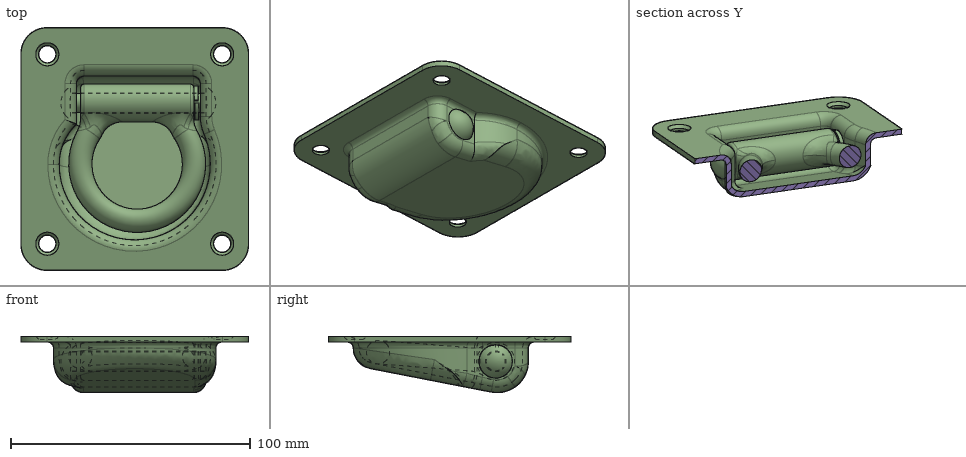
import cadquery as cq
import math

PLATE_WIDTH = 95.3
PLATE_LENGTH = 101.6
SHEET = 2.4
PLATE_CORNER_RADIUS = 11.0
HOLE_DIAMETER = 7.1
COUNTERSINK_DIAMETER = 9.7
COUNTERSINK_ANGLE = 90
HOLE_X = 36.6
HOLE_Y = 39.6

PIN_Y = 19.2
PIN_Z = -10.5
PIN_DIAMETER = 7.9
PAN_PIN_HOLE = 8.3
HEAD_DIAMETER = 13.9
HEAD_HEIGHT = 4.1

BOWL_Y = -6.4
BOWL_RADIUS = 34.0
SHOULDER_RADIUS = 25.6
BOWL_FLOOR_FILLET = 8.8
BOX_CENTER_X = 1.5
BOX_WIDTH = 56.7
BOX_BACK_RADIUS = 13.1
BOX_BACK_Y = 19.8
BOX_CORNER_FILLET = 5.6
BOX_FLOOR_FILLET = 5.4
FLOOR_SLOPE = math.radians(11.0)
JUNCTION_FILLET = 16.3
MOUTH_FILLET = 4.8

RING_X = 1.0
RING_RADIUS = 23.8
TUBE_DIAMETER = 9.8
RING_TILT = 4.5
BARREL_DIAMETER = 15.8
BARREL_LENGTH = 47.3
BARREL_END_FILLET = 1.4
BARREL_BORE = 8.6
NECK_ANGLE = math.radians(34.0)
NECK_FILLET = 9.1
LEG_SETBACK = 0.8

WASHER_DIAMETER = 14.2
WASHER_BORE = 8.6
WASHER_THICKNESS = 1.7
WASHER_RISE = 0.5
WASHER_TURN = 0.97

BOX_LEFT = BOX_CENTER_X - BOX_WIDTH / 2
BOX_RIGHT = BOX_CENTER_X + BOX_WIDTH / 2
BARREL_RIGHT = RING_X + BARREL_LENGTH / 2

BLOCK_DEPTH = 40.6
HALF_WIDTH = PLATE_WIDTH / 2
HALF_LENGTH = PLATE_LENGTH / 2

RIM_BAND = 0.1


def floor_start(inset):
    """Y and Z where the round back of the pan runs into the sloped floor."""
    radius = BOX_BACK_RADIUS - inset
    return BOX_BACK_Y - radius * math.sin(FLOOR_SLOPE), PIN_Z - radius * math.cos(FLOOR_SLOPE)


def floor_height(y, inset):
    """Z of the sloped floor at a given Y."""
    start_y, start_z = floor_start(inset)
    return start_z + (start_y - y) * math.tan(FLOOR_SLOPE)


def side_prism(inset):
    """Prism with the pan's side outline: straight back wall, round back and sloped floor."""
    radius = BOX_BACK_RADIUS - inset
    back_y = BOX_BACK_Y + radius
    arc_angle = (math.pi / 2 - FLOOR_SLOPE) / 2
    arc_middle = (BOX_BACK_Y + radius * math.cos(arc_angle), PIN_Z - radius * math.sin(arc_angle))
    return (
        cq.Workplane("YZ")
        .moveTo(-HALF_LENGTH, 0)
        .lineTo(back_y, 0)
        .lineTo(back_y, PIN_Z)
        .threePointArc(arc_middle, floor_start(inset))
        .lineTo(-HALF_LENGTH, floor_height(-HALF_LENGTH, inset))
        .close()
        .extrude(HALF_WIDTH, both=True)
    )


def point_on_arc(center_x, radius, angle):
    """X and Y of a point on a plan arc whose centre lies level with the bowl's centre."""
    return center_x + radius * math.cos(angle), BOWL_Y + radius * math.sin(angle)


def plan_block(inset):
    """Straight block with the pan's plan outline: box, shoulder on the left, round bowl."""
    left = BOX_LEFT + inset
    right = BOX_RIGHT - inset
    back = BOX_BACK_Y + BOX_BACK_RADIUS - inset
    bowl = BOWL_RADIUS - inset
    shoulder = SHOULDER_RADIUS - inset
    shoulder_x = shoulder - bowl
    shoulder_angle = math.acos((left - shoulder_x) / shoulder)
    shoulder_middle = (math.pi + shoulder_angle) / 2
    bowl_angle = math.acos(right / bowl)
    bowl_middle = (bowl_angle - math.pi) / 2
    block = (
        cq.Workplane("XY")
        .moveTo(left, back)
        .lineTo(*point_on_arc(shoulder_x, shoulder, shoulder_angle))
        .threePointArc(point_on_arc(shoulder_x, shoulder, shoulder_middle), (-bowl, BOWL_Y))
        .threePointArc(point_on_arc(0, bowl, bowl_middle), point_on_arc(0, bowl, bowl_angle))
        .lineTo(right, back)
        .close()
        .extrude(-BLOCK_DEPTH)
    )
    block = block.edges("|Z").edges(">Y").fillet(BOX_CORNER_FILLET - inset)
    junction = cq.selectors.BoxSelector((0, 0, -BLOCK_DEPTH), (BOWL_RADIUS, PIN_Y, 0))
    return block.edges("|Z").edges(junction).fillet(JUNCTION_FILLET + inset)


def floor_rounded_block(inset):
    """Plan block trimmed to the side outline, its lower rim rounded to the box fillet."""
    block = plan_block(inset).intersect(side_prism(inset))
    below_mouth = cq.selectors.BoxSelector(
        (-HALF_WIDTH, -HALF_LENGTH, -BLOCK_DEPTH), (HALF_WIDTH, HALF_LENGTH, -SHEET)
    )
    rim = block.edges(below_mouth).edges("not(|Z)").edges("not(|X)")
    return rim.fillet(BOX_FLOOR_FILLET - inset)


def bowl_envelope(inset):
    """Long U-shaped trough whose larger floor fillet rounds the bowl and fades out along the box."""
    radius = BOWL_RADIUS - inset
    plan = (
        cq.Workplane("XY")
        .moveTo(-radius, HALF_LENGTH)
        .lineTo(-radius, BOWL_Y)
        .threePointArc((0, BOWL_Y - radius), (radius, BOWL_Y))
        .lineTo(radius, HALF_LENGTH)
        .close()
        .extrude(-BLOCK_DEPTH)
    )
    floor = (
        cq.Workplane("YZ")
        .moveTo(-HALF_LENGTH, 0)
        .lineTo(HALF_LENGTH, 0)
        .lineTo(HALF_LENGTH, floor_height(HALF_LENGTH, inset))
        .lineTo(-HALF_LENGTH, floor_height(-HALF_LENGTH, inset))
        .close()
        .extrude(HALF_WIDTH, both=True)
    )
    return plan.intersect(floor).faces("<Z").edges("not(|X)").fillet(BOWL_FLOOR_FILLET - inset)


def tub(inset):
    """Solid tub bounded by the pan's skin, moved inward by the inset."""
    return floor_rounded_block(inset).intersect(bowl_envelope(inset))


def mouth_rim(z):
    """Selects the edges at height z around the mouth of the pan."""
    reach_x = BOWL_RADIUS + 2 * MOUTH_FILLET
    reach_y = HALF_LENGTH - MOUTH_FILLET
    return cq.selectors.BoxSelector(
        (-reach_x, -reach_y, z - RIM_BAND), (reach_x, reach_y, z + RIM_BAND)
    )


def pin_hole():
    """Cylinder that clears the pin shank in both side walls of the pan."""
    hole = cq.Workplane("YZ", origin=(BOX_LEFT, PIN_Y, PIN_Z)).circle(PAN_PIN_HOLE / 2)
    return hole.extrude(BOX_WIDTH)


def make_pan():
    """Plate with the hollow pan pressed into it, pin holes and countersunk screw holes."""
    plate = cq.Workplane("XY").rect(PLATE_WIDTH, PLATE_LENGTH).extrude(-SHEET)
    plate = plate.edges("|Z").fillet(PLATE_CORNER_RADIUS)
    pan = plate.union(tub(0))
    pan = pan.edges(mouth_rim(-SHEET)).fillet(MOUTH_FILLET - SHEET)
    pan = pan.cut(tub(SHEET))
    pan = pan.edges(mouth_rim(0)).fillet(MOUTH_FILLET)
    pan = pan.cut(pin_hole()).cut(make_pin())
    return (
        pan.faces(">Z")
        .workplane(origin=(0, 0, 0))
        .rect(2 * HOLE_X, 2 * HOLE_Y, forConstruction=True)
        .vertices()
        .cskHole(HOLE_DIAMETER, COUNTERSINK_DIAMETER, COUNTERSINK_ANGLE)
    )


def make_ring():
    """Bent tube whose ends run into a barrel; built flat with the barrel axis at Y = 0, then tilted."""
    center_y = BOWL_Y - PIN_Y
    end_x = BARREL_LENGTH / 2 - TUBE_DIAMETER / 2 - LEG_SETBACK
    neck_x = RING_RADIUS * math.cos(NECK_ANGLE)
    neck_y = center_y + RING_RADIUS * math.sin(NECK_ANGLE)
    left_neck = (-neck_x, neck_y)
    right_neck = (neck_x, neck_y)
    left_tangent = (-math.sin(NECK_ANGLE), -math.cos(NECK_ANGLE))
    right_tangent = (-math.sin(NECK_ANGLE), math.cos(NECK_ANGLE))
    path = (
        cq.Workplane("XY")
        .moveTo(-end_x, 0)
        .spline([left_neck], tangents=[(0, -1), left_tangent], includeCurrent=True)
        .threePointArc((0, center_y - RING_RADIUS), right_neck)
        .spline([(end_x, 0)], tangents=[right_tangent, (0, 1)], includeCurrent=True)
    )
    tube = cq.Workplane("XZ", origin=(-end_x, 0, 0)).circle(TUBE_DIAMETER / 2).sweep(path)
    barrel = cq.Workplane("YZ").circle(BARREL_DIAMETER / 2).extrude(BARREL_LENGTH / 2, both=True)
    barrel = barrel.edges().fillet(BARREL_END_FILLET)
    ring = barrel.union(tube)
    neck_seams = cq.selectors.BoxSelector(
        (-BARREL_LENGTH, -BARREL_DIAMETER / 2, -BARREL_DIAMETER),
        (BARREL_LENGTH, -BARREL_DIAMETER / 4, BARREL_DIAMETER),
    )
    ring = ring.edges(neck_seams).fillet(NECK_FILLET)
    bore = cq.Workplane("YZ").circle(BARREL_BORE / 2).extrude(BARREL_LENGTH, both=True)
    ring = ring.cut(bore)
    return ring.rotate((0, 0, 0), (1, 0, 0), -RING_TILT).translate((RING_X, PIN_Y, PIN_Z))


def make_pin():
    """Plain shank with a spherical-cap head against each outer wall of the pan."""
    head_radius = HEAD_DIAMETER / 2
    shank = PIN_DIAMETER / 2
    cap_radius = (head_radius**2 + HEAD_HEIGHT**2) / (2 * HEAD_HEIGHT)
    half_angle = math.asin(head_radius / cap_radius) / 2
    drop = cap_radius * (1 - math.cos(half_angle))
    rise = cap_radius * math.sin(half_angle)
    profile = (
        cq.Workplane("XY")
        .moveTo(BOX_LEFT - HEAD_HEIGHT, 0)
        .threePointArc((BOX_LEFT - HEAD_HEIGHT + drop, rise), (BOX_LEFT, head_radius))
        .lineTo(BOX_LEFT, shank)
        .lineTo(BOX_RIGHT, shank)
        .lineTo(BOX_RIGHT, head_radius)
        .threePointArc((BOX_RIGHT + HEAD_HEIGHT - drop, rise), (BOX_RIGHT + HEAD_HEIGHT, 0))
        .close()
    )
    pin = profile.revolve(axisStart=(0, 0, 0), axisEnd=(1, 0, 0))
    return pin.translate((0, PIN_Y, PIN_Z))


def make_washer():
    """One helical turn of flat wire around the pin, open at the split on top."""
    mean_radius = (WASHER_DIAMETER + WASHER_BORE) / 4
    wire_width = (WASHER_DIAMETER - WASHER_BORE) / 2
    right_end = BARREL_RIGHT + WASHER_RISE + WASHER_THICKNESS / 2
    helix = cq.Wire.makeHelix(WASHER_RISE, WASHER_RISE * WASHER_TURN, mean_radius, lefthand=True)
    washer = (
        cq.Workplane("XZ", origin=(mean_radius, 0, 0))
        .rect(wire_width, WASHER_THICKNESS)
        .sweep(cq.Workplane(helix), isFrenet=True)
    )
    return washer.rotate((0, 0, 0), (0, 1, 0), -90).translate((right_end, PIN_Y, PIN_Z))


pan = make_pan()
ring = make_ring()
pin = make_pin()
washer = make_washer()

result = cq.Compound.makeCompound([pan.val(), ring.val(), pin.val(), washer.val()])